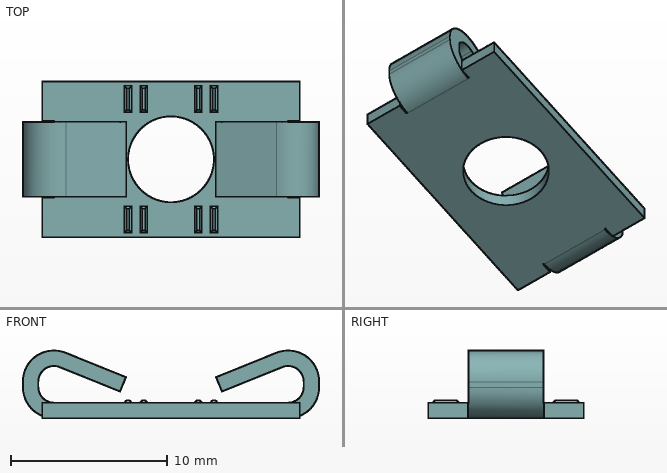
import cadquery as cq
import math

OVERALL_LENGTH = 19.0
OVERALL_HEIGHT = 4.35
SHEET = 1.0

PLATE_LENGTH = 16.53
PLATE_WIDTH = 10.0
HOLE_DIAMETER = 5.5

ARM_WIDTH = 4.8
ARM_LENGTH = 4.18
ARM_SLOPE = math.radians(22)
BEND_RADIUS = 2.0
RELIEF_GAP = 0.05

TOOTH_WIDTH = 0.48
TOOTH_LENGTH = 1.7
TOOTH_HEIGHT = 0.15
TOOTH_X = (1.75, 2.75)
TOOTH_Y = 3.85

inner_radius = BEND_RADIUS - SHEET
bend_x = OVERALL_LENGTH / 2 - BEND_RADIUS
lower_z = BEND_RADIUS
upper_z = OVERALL_HEIGHT - BEND_RADIUS


def bend_point(radius, angle, center_z):
    """Point on the right-hand bend, with the angle measured up from +X."""
    return (bend_x + radius * math.cos(angle), center_z + radius * math.sin(angle))


def arm_tip(start):
    """Move from the end of the bend down along the arm."""
    return (
        start[0] - ARM_LENGTH * math.cos(ARM_SLOPE),
        start[1] - ARM_LENGTH * math.sin(ARM_SLOPE),
    )


def make_plate():
    plate = cq.Workplane("XY").box(PLATE_LENGTH, PLATE_WIDTH, SHEET, centered=(True, True, False))
    plate = plate.faces(">Z").workplane().hole(HOLE_DIAMETER)
    notch_depth = PLATE_LENGTH / 2 - bend_x
    notch_x = bend_x + notch_depth / 2
    notches = (
        cq.Workplane("XY")
        .pushPoints([(-notch_x, 0), (notch_x, 0)])
        .rect(notch_depth, ARM_WIDTH + 2 * RELIEF_GAP)
        .extrude(SHEET)
    )
    return plate.cut(notches)


def make_right_arm():
    end_angle = math.pi / 2 + ARM_SLOPE
    outer_end = bend_point(BEND_RADIUS, end_angle, upper_z)
    inner_end = bend_point(inner_radius, end_angle, upper_z)
    upper_mid = end_angle / 2
    lower_mid = -math.pi / 4
    return (
        cq.Workplane("XZ")
        .moveTo(bend_x, 0)
        .threePointArc(bend_point(BEND_RADIUS, lower_mid, lower_z), bend_point(BEND_RADIUS, 0, lower_z))
        .lineTo(*bend_point(BEND_RADIUS, 0, upper_z))
        .threePointArc(bend_point(BEND_RADIUS, upper_mid, upper_z), outer_end)
        .lineTo(*arm_tip(outer_end))
        .lineTo(*arm_tip(inner_end))
        .lineTo(*inner_end)
        .threePointArc(bend_point(inner_radius, upper_mid, upper_z), bend_point(inner_radius, 0, upper_z))
        .lineTo(*bend_point(inner_radius, 0, lower_z))
        .threePointArc(bend_point(inner_radius, lower_mid, lower_z), (bend_x, SHEET))
        .close()
        .extrude(ARM_WIDTH / 2, both=True)
    )


def make_teeth():
    """Small ridges with 45 degree flanks, mirrored about both plate centerlines."""
    centers = [
        (x_side * x, y_side * TOOTH_Y)
        for x in TOOTH_X
        for x_side in (-1, 1)
        for y_side in (-1, 1)
    ]
    return (
        cq.Workplane("XY", origin=(0, 0, SHEET))
        .pushPoints(centers)
        .rect(TOOTH_WIDTH, TOOTH_LENGTH)
        .extrude(TOOTH_HEIGHT, taper=45)
    )


right_arm = make_right_arm()
left_arm = right_arm.mirror("YZ")
result = make_plate().union(right_arm).union(left_arm).union(make_teeth())